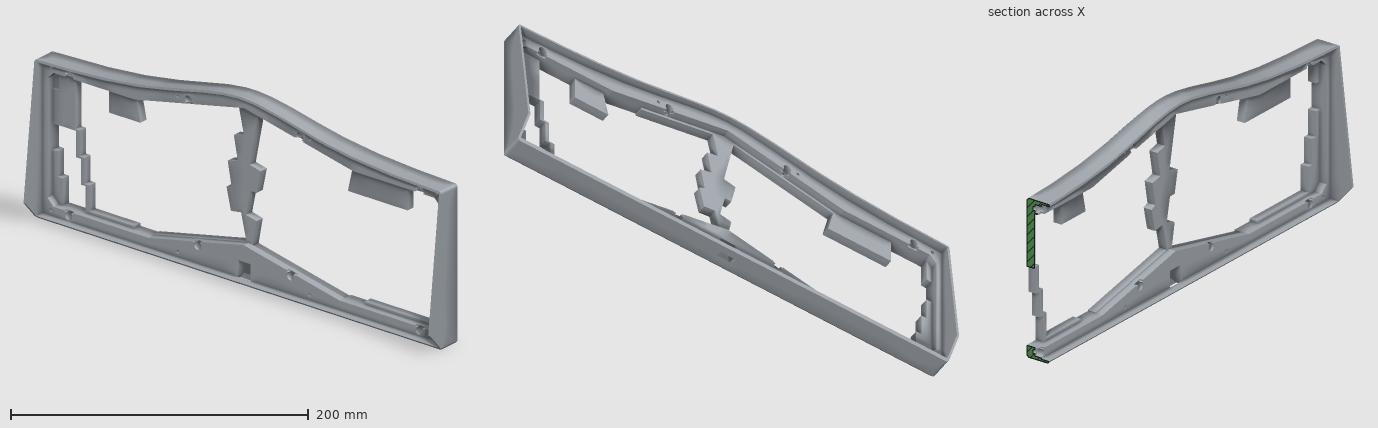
import cadquery as cq
import math


WIDTH = 351.3
HALF_WIDTH = WIDTH / 2
HEIGHT = 137.0
DEPTH = 30.5
BOTTOM_DEPTH = 17.5
TOP_DEPTH = 16.5
CHIN_HEIGHT = 14.8
WALL = 1.8
CORNER_RADIUS = 2.0
BACK_CHAMFER = 1.5

HALF_CROWN = [(28.0, 134.0), (70.3, 125.0), (96.3, 121.2), (123.0, 118.7), (HALF_WIDTH, 116.5)]

FRAME_DEPTH = 12.3
PLATE_DEPTH = 6.5
OPENING_SIDE = 169.5
OPENING_BOTTOM = 8.8
OPENING_TOP = 107.0
BOTTOM_APEX = 26.5
TOP_APEX = 127.0
CORNER_CUT = 5.3
KEY_ANGLE = 12
KEY_SLOPE = math.tan(math.radians(KEY_ANGLE))
BOTTOM_KNEE_X = (BOTTOM_APEX - OPENING_BOTTOM) / KEY_SLOPE
TOP_KNEE_X = (TOP_APEX - OPENING_TOP) / KEY_SLOPE

ROW_TOPS = (67.8, 49.0, 30.0)
ROW_STEP = 4.2
LEDGE_TOP = 11.0
LEDGE_END = 99.5
LIP = 2.0
LEFT_PLATE_APEX = BOTTOM_APEX + 0.7
RIGHT_PLATE_APEX = BOTTOM_APEX - 1.0
LIP_END = 67.0
TAB_BOTTOM = 88.0
TAB_LEAN = (OPENING_TOP - TAB_BOTTOM) * KEY_SLOPE
LEFT_TAB = (-121.2, -98.0)
RIGHT_TAB = (89.2, 136.5)
MAIN_LEFT = -150.5
STRIP_LEFT = -149.5
STRIP_WIDTH = 3.0
STRIP_DROP = 1.5
SLOT_TOP = 66.7

BRIDGE_LEFT = [(-8.8, TOP_APEX - LIP - 8.8 * KEY_SLOPE), (-4.5, 104.0), (-13.5, 102.0), (-10.0, 83.5),
               (-18.5, 81.5), (-15.5, 64.3), (-19.5, 62.2), (-15.8, 45.3), (-7.0, 46.7)]
BRIDGE_LEFT_FOOT = -2.5
BRIDGE_RIGHT = [(8.0, TOP_APEX - LIP - 8.0 * KEY_SLOPE), (0.5, 83.5), (10.0, 81.5), (6.3, 64.5),
                (1.0, 64.5), (-2.8, 46.0), (6.3, 44.0)]
BRIDGE_RIGHT_FOOT = 2.8

SCREW_DIAMETER = 6.0
SCREW_CORE_DIAMETER = 2.53
SCREW_DEPTH = 5.3
SCREW_CORE_DEPTH = 1.8
NOTCH_WIDTH = 7.5
NOTCH_LENGTH = 4.2
NOTCH_DEPTH = 2.5
NOTCH_START = 2.0
PIN_DIAMETER = 2.53
PIN_DEPTH = 5.3
CORNER_SCREW_X = 151.5
CORNER_PIN_X = 166.5
MIDDLE_PIN_X = 57.0
CROWN_SCREW_X = 48.0
CROWN_HOLE_Z = 119.8
CHIN_SCREW_X = 40.0
CHIN_SCREW_Z = 14.8
HOLE_ROW_BOTTOM = 5.5
HOLE_ROW_TOP = 111.0

SOCKET_LEFT = -6.3
SOCKET_RIGHT = 5.5
SOCKET_TOP = 14.0
SOCKET_FLOOR = 4.2
SOCKET_RAMP_DEPTH = 8.5

RECESS_RIGHT = -164.5
RECESS_BOTTOM = 92.7
RECESS_DEPTH = 1.0


def prism(points, near, far):
    """Solid with a front outline of (X, Z) points, between two depths from the back."""
    return cq.Workplane("XZ").workplane(offset=near).polyline(points).close().extrude(far - near)


def box(left, right, bottom, top, near, far):
    """Rectangular block between two depths."""
    return prism([(left, bottom), (right, bottom), (right, top), (left, top)], near, far)


def cylinder(x, z, diameter, near, far):
    """Round pin along Y between two depths."""
    return cq.Workplane("XZ").workplane(offset=near).center(x, z).circle(diameter / 2).extrude(far - near)


def crowned_block(inset):
    """Full-depth block under the crown curve, moved inward by the inset."""
    half_crown = [(x, z - inset) for x, z in HALF_CROWN]
    crown = [(-x, z) for x, z in reversed(half_crown)] + [(0, HEIGHT - inset)] + half_crown
    crown[0] = (inset - HALF_WIDTH, crown[0][1])
    crown[-1] = (HALF_WIDTH - inset, crown[-1][1])
    outline = cq.Workplane("XZ").moveTo(HALF_WIDTH - inset, inset).lineTo(inset - HALF_WIDTH, inset)
    outline = outline.lineTo(*crown[0]).spline(crown[1:], includeCurrent=True).close()
    return outline.extrude(DEPTH)


def case():
    """Walls and solid back, with the side profile cut to a wedge."""
    outer = crowned_block(0).edges("|Y").fillet(CORNER_RADIUS).faces(">Y").chamfer(BACK_CHAMFER)
    frame_zone = box(-HALF_WIDTH, HALF_WIDTH, 0, HEIGHT, 0, FRAME_DEPTH)
    cavity = crowned_block(WALL).cut(frame_zone)
    side = [(0, 0), (-BOTTOM_DEPTH, 0), (-DEPTH, CHIN_HEIGHT), (-TOP_DEPTH, HEIGHT), (0, HEIGHT)]
    wedge = cq.Workplane("YZ").polyline(side).close().extrude(HALF_WIDTH, both=True)
    return outer.intersect(wedge).cut(cavity)


def frame_opening():
    """Opening in the frame in front of the plate, with peaks at X = 0 and cut corners."""
    half = [
        (BOTTOM_KNEE_X, OPENING_BOTTOM),
        (OPENING_SIDE - CORNER_CUT, OPENING_BOTTOM),
        (OPENING_SIDE, OPENING_BOTTOM + CORNER_CUT),
        (OPENING_SIDE, OPENING_TOP - CORNER_CUT),
        (OPENING_SIDE - CORNER_CUT, OPENING_TOP),
        (TOP_KNEE_X, OPENING_TOP),
    ]
    mirrored = [(-x, z) for x, z in reversed(half)]
    return prism([(0, BOTTOM_APEX)] + half + [(0, TOP_APEX)] + mirrored, PLATE_DEPTH, FRAME_DEPTH)


def stairs(x, step, tops, bottom):
    """Points going down a flight of steps that starts at x and ends at the bottom."""
    points = []
    for top in tops:
        points += [(x, top), (x + step, top)]
        x += step
    return points + [(x, bottom)]


def lip_z(x):
    """Height of the plate's upper lip, which hangs below the frame opening."""
    return TOP_APEX - LIP - abs(x) * KEY_SLOPE


def slope_z(x, apex):
    """Height at X on the slope that falls both ways from the apex."""
    return apex - abs(x) * KEY_SLOPE


def left_key_opening():
    """Left key opening in the plate, from its stepped strip around to the tab above."""
    left, right = LEFT_TAB
    strip_right = STRIP_LEFT + STRIP_WIDTH
    points = [(MAIN_LEFT, OPENING_TOP), (MAIN_LEFT, ROW_TOPS[0]), (strip_right, ROW_TOPS[0])]
    points += stairs(strip_right, ROW_STEP, ROW_TOPS[1:], LEDGE_TOP)
    points += [(-LEDGE_END, LEDGE_TOP), (-LEDGE_END, OPENING_BOTTOM), (-BOTTOM_KNEE_X, OPENING_BOTTOM)]
    points += [(-BOTTOM_KNEE_X, slope_z(BOTTOM_KNEE_X, LEFT_PLATE_APEX))]
    points += [(BRIDGE_LEFT_FOOT, slope_z(BRIDGE_LEFT_FOOT, LEFT_PLATE_APEX))] + BRIDGE_LEFT[::-1]
    points += [(-LIP_END, lip_z(LIP_END)), (-LIP_END, lip_z(LIP_END) + LIP), (-TOP_KNEE_X, OPENING_TOP)]
    points += [(right, OPENING_TOP), (right + TAB_LEAN, TAB_BOTTOM), (left, TAB_BOTTOM), (left, OPENING_TOP)]
    return prism(points, 0, PLATE_DEPTH)


def left_slot():
    """Opening between the left wall and the stepped strip."""
    tops = [top - STRIP_DROP for top in ROW_TOPS[1:]]
    inner = stairs(STRIP_LEFT, ROW_STEP, tops, OPENING_BOTTOM)
    outer = stairs(-OPENING_SIDE, ROW_STEP, tops, OPENING_BOTTOM)
    return prism([(STRIP_LEFT, SLOT_TOP)] + inner + outer[::-1] + [(-OPENING_SIDE, SLOT_TOP)], 0, PLATE_DEPTH)


def right_key_opening():
    """Right key opening in the plate, with steps along its right side."""
    left, right = RIGHT_TAB
    tab_side = OPENING_SIDE - ROW_STEP
    points = [(tab_side, OPENING_TOP), (tab_side, TAB_BOTTOM), (OPENING_SIDE, TAB_BOTTOM)]
    points += stairs(OPENING_SIDE, -ROW_STEP, ROW_TOPS, LEDGE_TOP)
    points += [(LEDGE_END, LEDGE_TOP), (LEDGE_END, OPENING_BOTTOM), (BOTTOM_KNEE_X, OPENING_BOTTOM)]
    points += [(BOTTOM_KNEE_X, slope_z(BOTTOM_KNEE_X, RIGHT_PLATE_APEX))]
    points += [(BRIDGE_RIGHT_FOOT, slope_z(BRIDGE_RIGHT_FOOT, RIGHT_PLATE_APEX))] + BRIDGE_RIGHT[::-1]
    points += [(left, lip_z(left)), (left - TAB_LEAN, TAB_BOTTOM), (right, TAB_BOTTOM), (right, OPENING_TOP)]
    return prism(points, 0, PLATE_DEPTH)


def socket():
    """Pocket in the chin whose floor ramps forward to a slit through the bottom wall."""
    side = [(-FRAME_DEPTH, SOCKET_TOP), (-SOCKET_FLOOR, SOCKET_TOP), (-SOCKET_FLOOR, WALL),
            (-SOCKET_RAMP_DEPTH, 0), (-FRAME_DEPTH, 0)]
    start = cq.Workplane("YZ").workplane(offset=SOCKET_LEFT)
    return start.polyline(side).close().extrude(SOCKET_RIGHT - SOCKET_LEFT)


def pin_hole(x, z):
    return cylinder(x, z, PIN_DIAMETER, FRAME_DEPTH - PIN_DEPTH, FRAME_DEPTH)


def screw_hole(x, z, toward_opening, lean):
    """Screw hole with a narrower core, and a shallow notch from it into the opening."""
    bottom = FRAME_DEPTH - SCREW_DEPTH
    hole = cylinder(x, z, SCREW_DIAMETER, bottom, FRAME_DEPTH)
    core = cylinder(x, z, SCREW_CORE_DIAMETER, bottom - SCREW_CORE_DEPTH, bottom)
    start = NOTCH_START * toward_opening
    end = start + NOTCH_LENGTH * toward_opening
    notch = box(x - NOTCH_WIDTH / 2, x + NOTCH_WIDTH / 2, z + min(start, end), z + max(start, end),
                FRAME_DEPTH - NOTCH_DEPTH, FRAME_DEPTH)
    notch = notch.rotate((x, 0, z), (x, 1, z), lean)
    return hole.union(core).union(notch)


result = case().cut(frame_opening())
result = result.cut(left_key_opening()).cut(right_key_opening()).cut(left_slot())

for side in (-1, 1):
    for z, toward_opening in ((HOLE_ROW_BOTTOM, 1), (HOLE_ROW_TOP, -1)):
        result = result.cut(screw_hole(side * CORNER_SCREW_X, z, toward_opening, 0))
        result = result.cut(pin_hole(side * CORNER_PIN_X, z))
    for z in (HOLE_ROW_BOTTOM, CROWN_HOLE_Z):
        result = result.cut(pin_hole(side * MIDDLE_PIN_X, z))
    lean = side * KEY_ANGLE
    result = result.cut(screw_hole(side * CROWN_SCREW_X, CROWN_HOLE_Z, -1, lean))
    result = result.cut(screw_hole(side * CHIN_SCREW_X, CHIN_SCREW_Z, 1, lean))

result = result.cut(socket())
result = result.cut(box(-OPENING_SIDE, RECESS_RIGHT, RECESS_BOTTOM, OPENING_TOP,
                        PLATE_DEPTH - RECESS_DEPTH, PLATE_DEPTH))